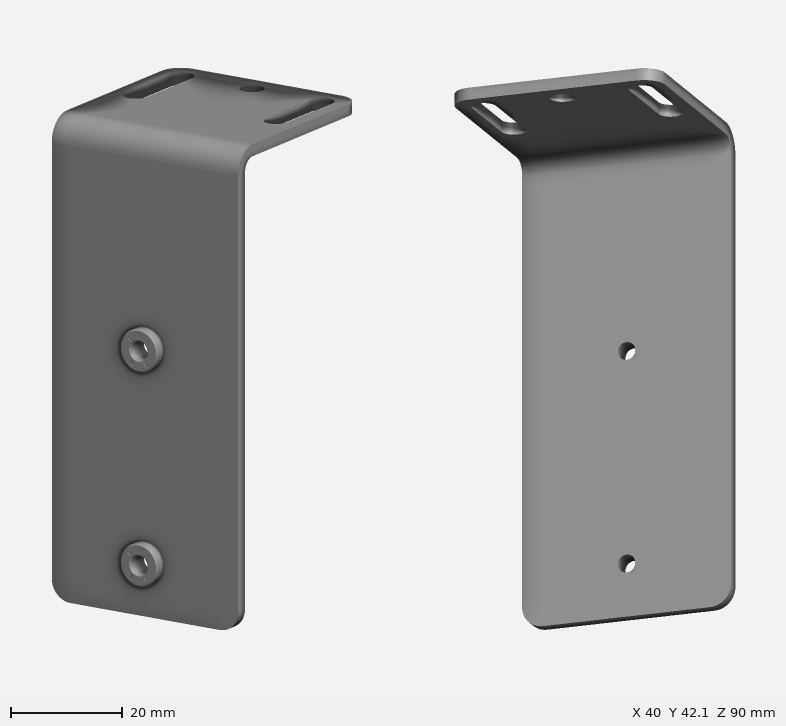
import cadquery as cq
import math

width = 40.0
height = 90.0
leg_depth = 40.0
sheet = 2.25
bend_outer_radius = 4.8
corner_radius = 4.0

hole_diameter = 4.5
hole_edge_distance = 5.0
slot_spacing = 30.1
slot_center_length = 15.0

boss_diameter = 8.0
boss_height = 2.1
boss_chamfer = 0.3
bore_diameter = 3.3
bore_chamfer = 0.4
boss_edge_distance = 10.0
boss_spacing = 40.0

mark_angles = (45, 90, 135, 237, 303)
mark_middle_radius = 2.7
mark_length = 1.2
mark_width = 0.45
mark_depth = 0.2

bend_inner_radius = bend_outer_radius - sheet
slot_length = slot_center_length + hole_diameter
hole_y = leg_depth - hole_edge_distance
slot_y = hole_y - slot_center_length / 2
boss_heights = [boss_edge_distance, boss_edge_distance + boss_spacing]


def make_sheet():
    """L-shaped sheet with a rounded bend and rounded free corners."""
    outer = cq.Workplane("XY").box(width, leg_depth, height, centered=(True, False, False))
    outer = outer.edges("|X and <Y and >Z").fillet(bend_outer_radius)
    inside = (
        cq.Workplane("XY")
        .box(width, leg_depth, height, centered=(True, False, False))
        .translate((0, sheet, -sheet))
        .edges("|X and <Y and >Z")
        .fillet(bend_inner_radius)
    )
    bracket = outer.cut(inside)
    bracket = bracket.edges("|Z and >Y").fillet(corner_radius)
    return bracket.edges("|Y and <Z").fillet(corner_radius)


def make_leg_openings():
    """Round hole and two slots through the horizontal leg."""
    leg_top = cq.Workplane("XY", origin=(0, 0, height))
    hole = leg_top.center(0, hole_y).circle(hole_diameter / 2).extrude(-sheet)
    slots = (
        leg_top.pushPoints([(side * slot_spacing / 2, slot_y) for side in (-1, 1)])
        .slot2D(slot_length, hole_diameter, 90)
        .extrude(-sheet)
    )
    return hole.union(slots)


def make_boss(z):
    """Round boss with a chamfered rim, standing on the outer face."""
    boss = cq.Workplane("XZ", origin=(0, 0, z)).circle(boss_diameter / 2).extrude(boss_height)
    return boss.faces("<Y").chamfer(boss_chamfer)


def make_bore(z):
    """Bore through boss and sheet, with a countersunk mouth on the boss."""
    bore_radius = bore_diameter / 2
    mouth_radius = bore_radius + bore_chamfer
    return (
        cq.Workplane("XY", origin=(0, 0, z))
        .moveTo(0, sheet)
        .lineTo(bore_radius, sheet)
        .lineTo(bore_radius, bore_chamfer - boss_height)
        .lineTo(mouth_radius, -boss_height)
        .lineTo(0, -boss_height)
        .close()
        .revolve(360, (0, 0, 0), (0, 1, 0))
    )


def make_marks(z):
    """Narrow radial grooves sunk into the boss face."""
    marks = cq.Workplane("XZ", origin=(0, -boss_height, z))
    for angle in mark_angles:
        across = mark_middle_radius * math.cos(math.radians(angle))
        up = mark_middle_radius * math.sin(math.radians(angle))
        marks = marks.moveTo(across, up).slot2D(mark_length, mark_width, angle)
    return marks.extrude(-mark_depth)


result = make_sheet().cut(make_leg_openings())
for boss_z in boss_heights:
    result = result.union(make_boss(boss_z))
    result = result.cut(make_bore(boss_z)).cut(make_marks(boss_z))